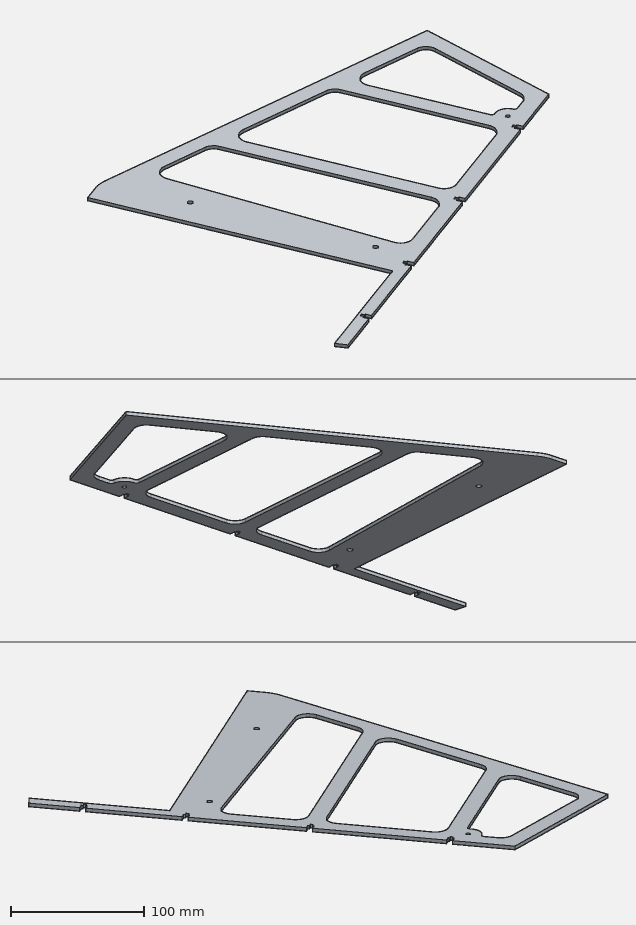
import cadquery as cq
import math

thickness = 3.0
width = 260.0
height = 421.0

apex_x = -118.7
right_top_y = 377.5
base_y = 108.5
tail_width = 10.0
tail_end_rise = 2.0
slant_foot_y = 129.2
slant_foot_radius = 27.8

rim = 14.0
window_radius = 10.0
upper_bar_y = 320.5
lower_bar_y = 212.5
sill_right_y = 144.5
sill_slope = 0.059

ear_x = -16.0
ear_y = 337.5
ear_radius = 10.5
ear_fillet = 2.5
ear_hole_diameter = 3.5

mount_hole_diameter = 4.0
mount_holes = [(-187.0, 133.5), (-35.0, 133.5)]
slot_width = 4.5
slot_depth = 7.5
slot_mouth_depth = 5.0
slot_neck_width = 2.0
slot_heights = [327.0, 219.0, 123.0, 43.8]

slant_run = apex_x + width
slant_rise = height - slant_foot_y
slant_shift = rim * math.hypot(slant_run, slant_rise) / slant_rise
top_slope = (right_top_y - height) / -apex_x
top_drop = rim * math.hypot(1, top_slope)


def inner_slant_x(y):
    """X of the windows' slanted left side at height y."""
    return apex_x + slant_shift + (y - height) * slant_run / slant_rise


def slant_crossing(y_at_right, slope):
    """Point where a line from X = 0 meets the windows' slanted left side."""
    x_per_y = slant_run / slant_rise
    x = inner_slant_x(y_at_right) / (1 - slope * x_per_y)
    return (x, y_at_right + slope * x)


def prism(points):
    return cq.Workplane("XY").polyline(points).close().extrude(thickness)


def window(bottom, bottom_slope, top, slope):
    """Four-sided opening; bottom and top are the edge heights at X = 0."""
    corners = [
        slant_crossing(bottom, bottom_slope),
        (-rim, bottom - bottom_slope * rim),
        (-rim, top - slope * rim),
        slant_crossing(top, slope),
    ]
    return prism(corners).edges("|Z").fillet(window_radius)


def top_window():
    """Top opening with the ear's rounded corner left standing."""
    bottom = upper_bar_y + rim
    opening = window(bottom, 0, right_top_y - top_drop, top_slope)
    ear = cq.Workplane("XY").center(ear_x, ear_y).circle(ear_radius).extrude(thickness)
    corner_fill = cq.Workplane("XY").box(-ear_x, ear_y - bottom, thickness, centered=False)
    ear = ear.union(corner_fill.translate((ear_x, bottom, 0)))
    opening = opening.cut(ear)
    foot = (ear_x - math.sqrt(ear_radius**2 - (ear_y - bottom) ** 2), bottom, thickness / 2)
    head = (-rim, ear_y + math.sqrt(ear_radius**2 - (ear_x + rim) ** 2), thickness / 2)
    for point in (foot, head):
        opening = opening.edges(cq.selectors.NearestToPointSelector(point)).fillet(ear_fillet)
    return opening


def edge_slot(y):
    """Stepped slot open at the right edge."""
    mouth = cq.Workplane("XY").center(0, y).rect(2 * slot_mouth_depth, slot_width).extrude(thickness)
    neck = cq.Workplane("XY").center(0, y).rect(2 * slot_depth, slot_neck_width).extrude(thickness)
    return mouth.union(neck)


plate = prism([
    (-width, base_y),
    (-tail_width, base_y),
    (-tail_width, 0),
    (0, tail_end_rise),
    (0, right_top_y),
    (apex_x, height),
    (-width, slant_foot_y),
])
slant_foot = (-width, slant_foot_y, thickness / 2)
plate = plate.edges(cq.selectors.NearestToPointSelector(slant_foot)).fillet(slant_foot_radius)

plate = plate.cut(top_window())
plate = plate.cut(window(lower_bar_y + rim, 0, upper_bar_y, 0))
plate = plate.cut(window(sill_right_y - sill_slope * rim, -sill_slope, lower_bar_y, 0))

for slot_y in slot_heights:
    plate = plate.cut(edge_slot(slot_y))

mount_cutters = cq.Workplane("XY").pushPoints(mount_holes).circle(mount_hole_diameter / 2)
plate = plate.cut(mount_cutters.extrude(thickness))
ear_cutter = cq.Workplane("XY").center(ear_x, ear_y).circle(ear_hole_diameter / 2)
plate = plate.cut(ear_cutter.extrude(thickness))

result = plate